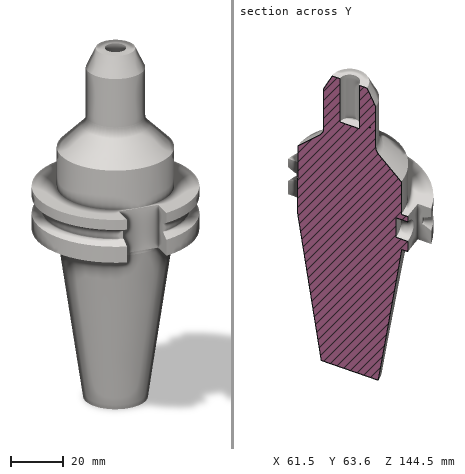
import cadquery as cq
import math

TOTAL_HEIGHT = 144.5
GAUGE_HEIGHT = 68.2
GAUGE_RADIUS = 22.2
TAPER_PER_LENGTH = 7 / 24
SMALL_END_RADIUS = GAUGE_RADIUS - GAUGE_HEIGHT * TAPER_PER_LENGTH / 2

FLANGE_BOTTOM = 69.5
FLANGE_TOP = 87.2
FLANGE_RADIUS = 31.8
GROOVE_HEIGHT = 79.6
GROOVE_ROOT_RADIUS = 28.2
GROOVE_LEDGE_WIDTH = 0.6
FLANK_FOOT_RADIUS = GROOVE_ROOT_RADIUS + GROOVE_LEDGE_WIDTH
GROOVE_ROOT_WIDTH = 3.5
GROOVE_FLANK_ANGLE = 30

SLOT_WIDTH = 16.2
LEFT_SLOT_FLOOR = 25.0
RIGHT_SLOT_FLOOR = 22.5
SLOT_HOLE_DIAMETER = 9.5
SLOT_HOLE_DEPTH = 5.0

BODY_RADIUS = GAUGE_RADIUS
BODY_TOP = 103.4
SHOULDER_ANGLE = 45
NOSE_RADIUS = 11.3
NOSE_FILLET_RADIUS = 5.0
TIP_LENGTH = 8.0
TIP_RADIUS = 7.5
BORE_DIAMETER = 8.1
BORE_DEPTH = 21.7


def make_turned_body():
    """Revolve the half outline, with radius along X and height along Z."""
    groove_half_root = GROOVE_ROOT_WIDTH / 2
    flank_rise = (FLANGE_RADIUS - FLANK_FOOT_RADIUS) * math.tan(math.radians(GROOVE_FLANK_ANGLE))
    groove_half_mouth = groove_half_root + flank_rise

    slope = math.radians(SHOULDER_ANGLE)
    fillet_center_radius = NOSE_RADIUS + NOSE_FILLET_RADIUS
    fillet_start_radius = fillet_center_radius - NOSE_FILLET_RADIUS * math.cos(slope)
    fillet_start_height = BODY_TOP + (BODY_RADIUS - fillet_start_radius) / math.tan(slope)
    fillet_end_height = fillet_start_height + NOSE_FILLET_RADIUS * math.sin(slope)
    fillet_mid_radius = fillet_center_radius - NOSE_FILLET_RADIUS * math.cos(slope / 2)
    fillet_mid_height = fillet_end_height - NOSE_FILLET_RADIUS * math.sin(slope / 2)

    return (
        cq.Workplane("XZ")
        .moveTo(0, 0)
        .lineTo(SMALL_END_RADIUS, 0)
        .lineTo(GAUGE_RADIUS, GAUGE_HEIGHT)
        .lineTo(GAUGE_RADIUS, FLANGE_BOTTOM)
        .lineTo(FLANGE_RADIUS, FLANGE_BOTTOM)
        .lineTo(FLANGE_RADIUS, GROOVE_HEIGHT - groove_half_mouth)
        .lineTo(FLANK_FOOT_RADIUS, GROOVE_HEIGHT - groove_half_root)
        .lineTo(GROOVE_ROOT_RADIUS, GROOVE_HEIGHT - groove_half_root)
        .lineTo(GROOVE_ROOT_RADIUS, GROOVE_HEIGHT + groove_half_root)
        .lineTo(FLANK_FOOT_RADIUS, GROOVE_HEIGHT + groove_half_root)
        .lineTo(FLANGE_RADIUS, GROOVE_HEIGHT + groove_half_mouth)
        .lineTo(FLANGE_RADIUS, FLANGE_TOP)
        .lineTo(BODY_RADIUS, FLANGE_TOP)
        .lineTo(BODY_RADIUS, BODY_TOP)
        .lineTo(fillet_start_radius, fillet_start_height)
        .threePointArc((fillet_mid_radius, fillet_mid_height), (NOSE_RADIUS, fillet_end_height))
        .lineTo(NOSE_RADIUS, TOTAL_HEIGHT - TIP_LENGTH)
        .lineTo(TIP_RADIUS, TOTAL_HEIGHT)
        .lineTo(0, TOTAL_HEIGHT)
        .close()
        .revolve(360, (0, 0), (0, 1))
    )


def make_drive_slot(side, floor):
    """Slot through the full flange height; side is -1 for -X and +1 for +X."""
    return (
        cq.Workplane("XY")
        .workplane(offset=FLANGE_BOTTOM)
        .center(side * (floor + FLANGE_RADIUS / 2), 0)
        .rect(FLANGE_RADIUS, SLOT_WIDTH)
        .extrude(FLANGE_TOP - FLANGE_BOTTOM)
    )


def make_slot_hole():
    """Blind hole running inward from the floor of the -X slot."""
    return (
        cq.Workplane("YZ", origin=(-LEFT_SLOT_FLOOR, 0, GROOVE_HEIGHT))
        .circle(SLOT_HOLE_DIAMETER / 2)
        .extrude(SLOT_HOLE_DEPTH)
    )


def make_bore():
    """Blind bore running down from the tip of the nose."""
    return (
        cq.Workplane("XY", origin=(0, 0, TOTAL_HEIGHT))
        .circle(BORE_DIAMETER / 2)
        .extrude(-BORE_DEPTH)
    )


result = (
    make_turned_body()
    .cut(make_drive_slot(-1, LEFT_SLOT_FLOOR))
    .cut(make_drive_slot(1, RIGHT_SLOT_FLOOR))
    .cut(make_slot_hole())
    .cut(make_bore())
)